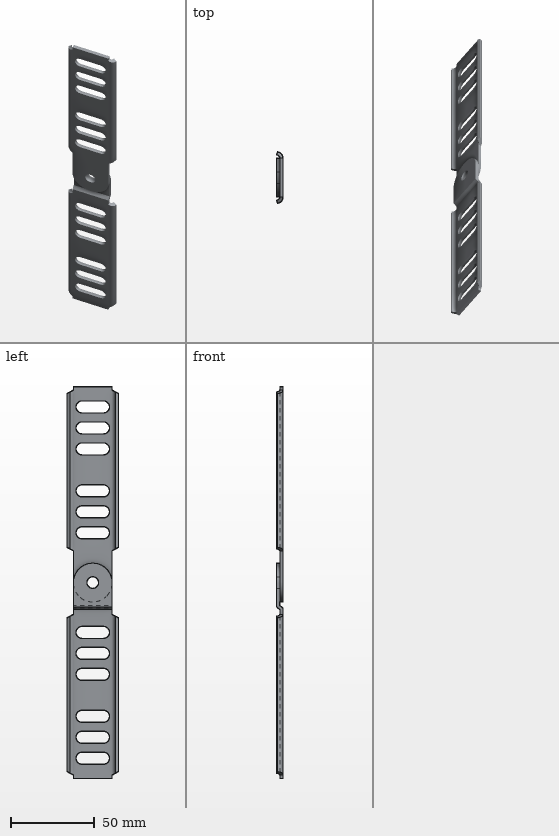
import cadquery as cq
import math

half_length = 117.0
thickness = 2.0
half_width = 15.5

bend_angle = 70.0
bend_radius = 1.8
flat_width = 23.2
flat_half_width = flat_width / 2
flange_start = 21.0
end_notch = 4.2
notch_slope = 2.0

slot_length = 20.0
slot_height = 7.0
slot_span = 75.0
slot_end_margin = 12.2
slot_positions = (0, 1, 2, 4, 5, 6)
slot_pitch = slot_span / slot_positions[-1]

hole_diameter = 6.8
joggle_start = 14.5
joggle_run = 1.6

back_x = 2 * thickness
mid_x = thickness
flange_end = half_length - end_notch


def flange(side):
    """Folded edge on one side: a circular bend followed by a straight lip reaching x = 0."""
    angle = math.radians(bend_angle)
    center_x = mid_x - bend_radius

    def bend_point(radius, turn):
        return (center_x + radius * math.cos(turn), side * (flat_half_width + radius * math.sin(turn)))

    outer_radius = bend_radius + thickness
    inner_end = bend_point(bend_radius, angle)
    outer_end = bend_point(outer_radius, angle)
    lip_inner = (0, inner_end[1] + side * inner_end[0] / math.tan(angle))
    lip_outer = (thickness * math.cos(angle), lip_inner[1] + side * thickness * math.sin(angle))
    return (
        cq.Workplane("XY", origin=(0, 0, flange_start - notch_slope))
        .moveTo(mid_x, side * flat_half_width)
        .threePointArc(bend_point(bend_radius, angle / 2), inner_end)
        .lineTo(*lip_inner)
        .lineTo(*lip_outer)
        .lineTo(*outer_end)
        .threePointArc(bend_point(outer_radius, angle / 2), (back_x, side * flat_half_width))
        .close()
        .extrude(flange_end - flange_start + 2 * notch_slope)
    )


def flange_envelope():
    """Block with beveled corners that trims the flange ends at a slope."""
    return (
        cq.Workplane("YZ")
        .polyline([
            (-flat_half_width, flange_start - notch_slope),
            (flat_half_width, flange_start - notch_slope),
            (half_width, flange_start),
            (half_width, flange_end),
            (flat_half_width, flange_end + notch_slope),
            (-flat_half_width, flange_end + notch_slope),
            (-half_width, flange_end),
            (-half_width, flange_start),
        ])
        .close()
        .extrude(back_x)
    )


def plate(bottom_z):
    """Flat part of the strap from bottom_z to the outer end."""
    return cq.Workplane("XY").box(
        thickness, flat_width, half_length - bottom_z, centered=(False, True, False)
    ).translate((mid_x, 0, bottom_z))


def tongue(front_x, top_z):
    """Hinge tongue with a semicircular end around the pivot."""
    return (
        cq.Workplane("YZ", origin=(front_x, 0, 0))
        .moveTo(-flat_half_width, top_z)
        .lineTo(-flat_half_width, 0)
        .threePointArc((0, -flat_half_width), (flat_half_width, 0))
        .lineTo(flat_half_width, top_z)
        .close()
        .extrude(thickness)
    )


def joggle():
    """Sloped step that joins the offset tongue to the plate."""
    joggle_end = joggle_start + joggle_run
    shift = thickness * math.tan(math.atan2(thickness, joggle_run) / 2)
    return (
        cq.Workplane("XZ", origin=(0, flat_half_width, 0))
        .polyline([
            (0, 0),
            (0, joggle_start),
            (mid_x, joggle_end),
            (mid_x, joggle_end + shift),
            (back_x, joggle_end + shift),
            (back_x, joggle_end - shift),
            (mid_x, joggle_start - shift),
            (mid_x, 0),
        ])
        .close()
        .extrude(flat_width)
    )


def finish_strap(body):
    """Add both flanges, then cut the slots and the pivot hole."""
    envelope = flange_envelope()
    for side in (-1, 1):
        body = body.union(flange(side).intersect(envelope))
    slot_centers = [
        (0, half_length - slot_end_margin - step * slot_pitch) for step in slot_positions
    ]
    slots = (
        cq.Workplane("YZ").pushPoints(slot_centers).slot2D(slot_length, slot_height).extrude(back_x)
    )
    pivot_hole = cq.Workplane("YZ").circle(hole_diameter / 2).extrude(back_x)
    return body.cut(slots).cut(pivot_hole)


def flat_strap():
    """Upper strap whose tongue stays in the plane of the plate."""
    return finish_strap(plate(0).union(tongue(mid_x, flange_start)))


def joggled_strap():
    """Lower strap, stepped toward -X so that its tongue lies against the upper one."""
    body = plate(joggle_start + joggle_run).union(joggle()).union(tongue(0, joggle_start))
    return finish_strap(body).rotate((0, 0, 0), (1, 0, 0), 180)


upper_strap = flat_strap()
lower_strap = joggled_strap()
result = cq.Compound.makeCompound([upper_strap.val(), lower_strap.val()])